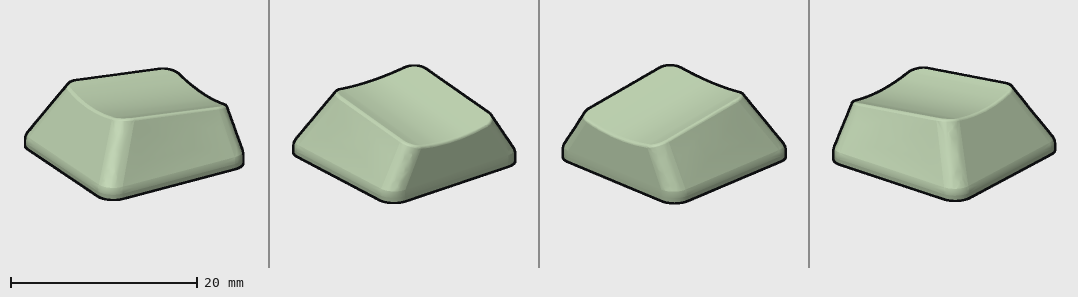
import cadquery as cq
import math

base_size = 18.16
base_corner_radius = 2.0
skirt_height = 0.6

blend_height = 0.73
blend_front_inset = 0.2
blend_side_inset = 0.18
blend_back_inset = 0.04
blend_corner_radius = 1.85

top_tilt = 7.1
top_width = 11.73
top_front_y = -5.23
top_back_y = 8.63
top_corner_radius = 1.73
top_plane_height = 7.2

dish_radius = 23.6
dish_floor_height = 6.27
dish_cutter_length = 36.32
rim_fillet_radius = 0.36


def flat_plane(y, height):
    return cq.Plane(origin=(0, y, height))


def tilted_plane(y, height_at_origin):
    """Plane through x = 0 and the given y that slopes down toward +Y."""
    tilt = math.radians(top_tilt)
    return cq.Plane(
        origin=(0, y, height_at_origin - y * math.tan(tilt)),
        xDir=(1, 0, 0),
        normal=(0, math.sin(tilt), math.cos(tilt)),
    )


def rounded_outline(plane, width, length, corner_radius):
    outline = cq.Sketch().rect(width, length).vertices().fillet(corner_radius)
    return outline.moved(plane.location)


def blend_outline(fraction):
    """Outline of the curved band at a fraction of its height."""
    pull_in = fraction**2
    front_y = -base_size / 2 + blend_front_inset * pull_in
    back_y = base_size / 2 - blend_back_inset * pull_in
    plane = flat_plane((front_y + back_y) / 2, skirt_height + fraction * blend_height)
    width = base_size - 2 * blend_side_inset * pull_in
    corner_radius = base_corner_radius + fraction * (blend_corner_radius - base_corner_radius)
    return rounded_outline(plane, width, back_y - front_y, corner_radius)


def make_body():
    """Vertical skirt, curved band, and a tapered body that leans toward the back."""
    foot = rounded_outline(flat_plane(0, 0), base_size, base_size, base_corner_radius)
    skirt = cq.Workplane().placeSketch(foot).extrude(skirt_height)

    band_outlines = [blend_outline(fraction) for fraction in (0, 0.5, 1)]
    band = cq.Workplane().placeSketch(*band_outlines).loft()

    top_length = (top_back_y - top_front_y) / math.cos(math.radians(top_tilt))
    top_plane = tilted_plane((top_front_y + top_back_y) / 2, top_plane_height)
    top_outline = rounded_outline(top_plane, top_width, top_length, top_corner_radius)
    taper = cq.Workplane().placeSketch(band_outlines[-1], top_outline).loft(ruled=True)
    return skirt.union(band).union(taper)


def cut_dish(body):
    """Hollow the top with a cylinder and round the rim this leaves."""
    floor_plane = tilted_plane(0, dish_floor_height)
    axis_start = floor_plane.toWorldCoords((0, -dish_cutter_length / 2, dish_radius))
    axis_direction = floor_plane.yDir
    cutter = cq.Solid.makeCylinder(dish_radius, dish_cutter_length, axis_start, axis_direction)
    dished = body.cut(cq.Workplane(cutter))
    dish_center = floor_plane.origin
    dish_face = dished.faces(cq.selectors.NearestToPointSelector(dish_center.toTuple()))
    return dish_face.edges().fillet(rim_fillet_radius)


result = cut_dish(make_body())